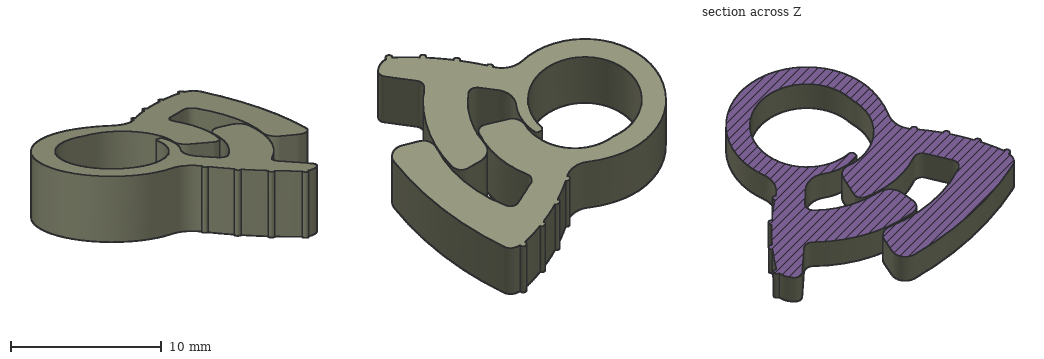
import cadquery as cq
import math


WIDTH = 4.6

RING_CENTER = (0.0, 0.0)
RING_OUTER_R = 5.39
RING_INNER_R = 3.78

NECK_R = 7.39
NECK_CENTER = (NECK_R - RING_OUTER_R, 0.0)

LEFT_CENTER = (-0.28, 0.95)
LEFT_BORE_R = 3.63
LEFT_LOWER_ARM_R = 6.73
LEFT_UPPER_ARM_R = 9.84

BACK_TOP = 13.8
BACK_R = 23.48
BACK_CENTER = (2.2, BACK_TOP - BACK_R)

RIGHT_CENTER = (0.32, 0.95)
TONGUE_R = 3.58
RIGHT_ARM_INNER_R = 6.79
RIGHT_ARM_OUTER_R = 9.75

RIB_COUNT = 4
RIB_R = 0.23
LEFT_GRIP_CENTER = (4.22, 15.37)
LEFT_GRIP_R = 14.7
LEFT_RIB_START = 202.6
LEFT_RIB_STEP = 8.53
RIGHT_GRIP_CENTER = (-5.98, 16.48)
RIGHT_GRIP_R = 16.88
RIGHT_RIB_START = -23.8
RIGHT_RIB_STEP = -7.68


def polar(center, radius, degrees):
    """Point at an angle on a circle."""
    angle = math.radians(degrees)
    return (center[0] + radius * math.cos(angle), center[1] + radius * math.sin(angle))


def arc_to(path, center, radius, end):
    """Extend the path from its last edge to end along a circle, the short way round."""
    start = path.val().endPoint()
    start_angle = math.atan2(start.y - center[1], start.x - center[0])
    end_angle = math.atan2(end[1] - center[1], end[0] - center[0])
    sweep = math.remainder(end_angle - start_angle, 2 * math.pi)
    middle = polar(center, radius, math.degrees(start_angle + sweep / 2))
    return path.threePointArc(middle, end)


shoulder = (-9.4, 10.71)
upper_tip_top = (2.38, BACK_TOP)
upper_tip_bottom = polar(LEFT_CENTER, LEFT_UPPER_ARM_R, 77.6)
left_slot_top = polar(LEFT_CENTER, LEFT_UPPER_ARM_R, 127.8)
left_slot_bottom = polar(LEFT_CENTER, LEFT_LOWER_ARM_R, 128.6)
lower_tip_top = polar(LEFT_CENTER, LEFT_LOWER_ARM_R, 76.5)
lower_tip_bottom = polar(LEFT_CENTER, LEFT_BORE_R, 74.2)
bore_step = polar(RING_CENTER, RING_INNER_R, 182.3)

tongue_bottom = polar(RING_CENTER, RING_INNER_R, 106.6)
tongue_top = polar(RIGHT_CENTER, TONGUE_R, 112.9)
right_slot_bottom = polar(RIGHT_CENTER, TONGUE_R, 48.9)
right_slot_top = polar(RIGHT_CENTER, RIGHT_ARM_INNER_R, 50.3)
arm_tip_bottom = polar(RIGHT_CENTER, RIGHT_ARM_INNER_R, 104.1)
arm_tip_top = polar(RIGHT_CENTER, RIGHT_ARM_OUTER_R, 102.6)
valley = polar(RIGHT_CENTER, RIGHT_ARM_OUTER_R, 51.4)
lever_tip = (8.38, 11.03)
lever_bulge = (9.17, 10.52)

left_grip_top = polar(LEFT_GRIP_CENTER, LEFT_GRIP_R, LEFT_RIB_START)
left_grip_bottom = polar(NECK_CENTER, NECK_R, 151.6)
right_grip_top = polar(RIGHT_GRIP_CENTER, RIGHT_GRIP_R, RIGHT_RIB_START)
right_grip_bottom = polar(RING_CENTER, RING_OUTER_R, 34.5)
ring_left = (-RING_OUTER_R, 0.0)
ring_bottom = (0.0, -RING_OUTER_R)
bore_bottom = (0.0, -RING_INNER_R)

CORNER_ROUNDS = [
    (shoulder, 0.8),
    (upper_tip_top, 1.0),
    (upper_tip_bottom, 0.95),
    (left_slot_top, 0.6),
    (left_slot_bottom, 0.6),
    (lower_tip_top, 0.6),
    (lower_tip_bottom, 0.9),
    (tongue_bottom, 0.25),
    (tongue_top, 0.2),
    (right_slot_bottom, 1.5),
    (right_slot_top, 0.6),
    (arm_tip_bottom, 1.2),
    (arm_tip_top, 0.8),
    (valley, 0.6),
    (lever_tip, 0.5),
    (left_grip_bottom, 1.7),
    (right_grip_bottom, 1.77),
]


def clamp_body():
    """Prism of the open strip, with sharp corners."""
    path = cq.Workplane("XY").moveTo(*left_grip_top).lineTo(*shoulder)

    path = arc_to(path, BACK_CENTER, BACK_R, upper_tip_top)
    path = path.lineTo(*upper_tip_bottom)
    path = arc_to(path, LEFT_CENTER, LEFT_UPPER_ARM_R, left_slot_top)
    path = path.lineTo(*left_slot_bottom)
    path = arc_to(path, LEFT_CENTER, LEFT_LOWER_ARM_R, lower_tip_top)
    path = path.lineTo(*lower_tip_bottom)
    path = arc_to(path, LEFT_CENTER, LEFT_BORE_R, bore_step)

    path = path.threePointArc(bore_bottom, tongue_bottom)
    path = path.lineTo(*tongue_top)
    path = arc_to(path, RIGHT_CENTER, TONGUE_R, right_slot_bottom)
    path = path.lineTo(*right_slot_top)
    path = arc_to(path, RIGHT_CENTER, RIGHT_ARM_INNER_R, arm_tip_bottom)
    path = path.lineTo(*arm_tip_top)
    path = arc_to(path, RIGHT_CENTER, RIGHT_ARM_OUTER_R, valley)
    path = path.lineTo(*lever_tip)
    path = path.threePointArc(lever_bulge, right_grip_top)

    path = arc_to(path, RIGHT_GRIP_CENTER, RIGHT_GRIP_R, right_grip_bottom)
    path = path.threePointArc(ring_bottom, ring_left)
    path = arc_to(path, NECK_CENTER, NECK_R, left_grip_bottom)
    path = arc_to(path, LEFT_GRIP_CENTER, LEFT_GRIP_R, left_grip_top)
    return path.close().extrude(WIDTH)


def round_corners(body):
    """Round each sharp corner along the full width."""
    for corner, radius in CORNER_ROUNDS:
        nearest = cq.selectors.NearestToPointSelector((*corner, WIDTH / 2))
        body = body.edges("|Z").edges(nearest).fillet(radius)
    return body


def grip_ribs(center, radius, start, step):
    """Round ribs standing half out of a grip face."""
    places = [polar(center, radius, start + i * step) for i in range(RIB_COUNT)]
    return cq.Workplane("XY").pushPoints(places).circle(RIB_R).extrude(WIDTH)


left_ribs = grip_ribs(LEFT_GRIP_CENTER, LEFT_GRIP_R, LEFT_RIB_START, LEFT_RIB_STEP)
right_ribs = grip_ribs(RIGHT_GRIP_CENTER, RIGHT_GRIP_R, RIGHT_RIB_START, RIGHT_RIB_STEP)
result = round_corners(clamp_body()).union(left_ribs).union(right_ribs)